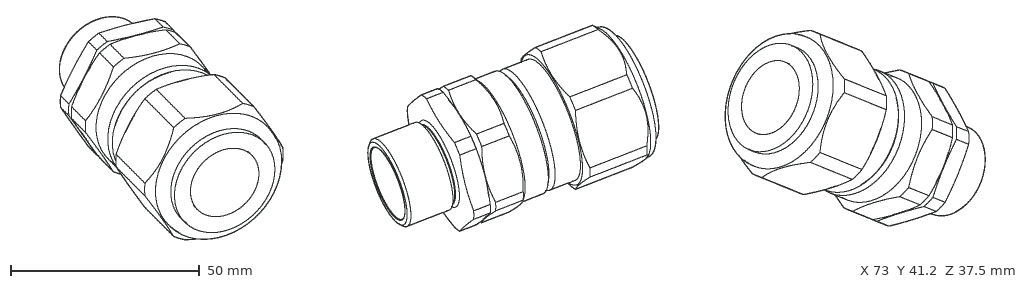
import cadquery as cq
import math

overall_length = 72.95
hex_sides = 6

spigot_radius = 12.5
spigot_chamfer = 0.75
spigot_straight_end = 13.2
relief_start = 14.25
relief_end = 14.5
relief_radius = 11.4
underhead_radius = 12.35

bore_radius = 10.2
bore_mouth_chamfer = 0.2

body_hex_flats = 36.0
body_hex_corners = 39.65
flange_hex_start = 15.2
flange_hex_end = 21.15
flange_hex_chamfer = 0.52
body_hex_end = 31.65
body_hex_start_chamfer = 1.08
body_hex_end_chamfer = 1.25
body_hex_face_radius = 17.9

body_radius = 17.5
body_start = 32.1
body_end = 38.95
groove_bottom_x = 39.82
groove_radius = 16.15
rear_body_start = 41.1
rear_body_radius = 17.25

nut_hex_flats = 37.5
nut_hex_corners = 41.23
nut_start = 48.6
nut_hex_end = 68.8
nut_start_chamfer = 1.15
nut_end_chamfer = 2.15
collar_radius = 18.5
nut_face_radius = collar_radius
collar_end = 70.8
collar_fillet = 1.1

seal_radius = 14.95


def revolve_profile(points):
    """Revolve (x, radius) points, closed along the X axis."""
    closed = [(points[0][0], 0)] + points + [(points[-1][0], 0)]
    return cq.Workplane("XY").polyline(closed).close().revolve(360, (0, 0, 0), (1, 0, 0))


def hex_prism(start, end, across):
    """Hexagonal prism along X with its top and bottom flats facing Z."""
    circumdiameter = across / math.cos(math.pi / hex_sides)
    return cq.Workplane("YZ", origin=(start, 0, 0)).polygon(hex_sides, circumdiameter).extrude(end - start)


def chamfered_hex(start, end, flats, corners, face_radius, start_chamfer, end_chamfer):
    """Hexagon with flattened corners and a conical chamfer on each end face."""
    prism = hex_prism(start, end, flats)
    corner_trim = hex_prism(start, end, corners).rotate((0, 0, 0), (1, 0, 0), 180 / hex_sides)
    corner_radius = corners / 2
    envelope = revolve_profile([
        (start, face_radius),
        (start + start_chamfer, corner_radius),
        (end - end_chamfer, corner_radius),
        (end, face_radius),
    ])
    return prism.intersect(corner_trim).intersect(envelope)


def turned_core():
    """Spigot, thread relief, grooved round body and seal as one turned shape."""
    return revolve_profile([
        (0, spigot_radius - spigot_chamfer),
        (spigot_chamfer, spigot_radius),
        (spigot_straight_end, spigot_radius),
        (relief_start, relief_radius),
        (relief_end, relief_radius),
        (flange_hex_start, underhead_radius),
        (flange_hex_start, body_hex_face_radius),
        (body_hex_end, body_hex_face_radius),
        (body_start, body_radius),
        (body_end, body_radius),
        (groove_bottom_x, groove_radius),
        (rear_body_start, rear_body_radius),
        (nut_hex_end, rear_body_radius),
        (nut_hex_end, seal_radius),
        (overall_length, seal_radius),
    ])


def nut_collar():
    """Round collar behind the nut hexagon, with a rounded rear edge."""
    collar = revolve_profile([(nut_start, collar_radius), (collar_end, collar_radius)])
    return collar.faces(">X").edges().fillet(collar_fillet)


def bore():
    """Through bore with a small chamfer at the spigot mouth."""
    return revolve_profile([
        (0, bore_radius + bore_mouth_chamfer),
        (bore_mouth_chamfer, bore_radius),
        (overall_length, bore_radius),
    ])


flange_hex = chamfered_hex(
    flange_hex_start, flange_hex_end, body_hex_flats, body_hex_corners, body_hex_face_radius,
    flange_hex_chamfer, flange_hex_chamfer,
)
body_hex = chamfered_hex(
    flange_hex_end, body_hex_end, body_hex_flats, body_hex_corners, body_hex_face_radius,
    body_hex_start_chamfer, body_hex_end_chamfer,
)
nut_hex = chamfered_hex(
    nut_start, nut_hex_end, nut_hex_flats, nut_hex_corners, nut_face_radius,
    nut_start_chamfer, nut_end_chamfer,
)

fitting = turned_core()
for section in (flange_hex, body_hex, nut_hex, nut_collar()):
    fitting = fitting.union(section)

result = fitting.cut(bore())